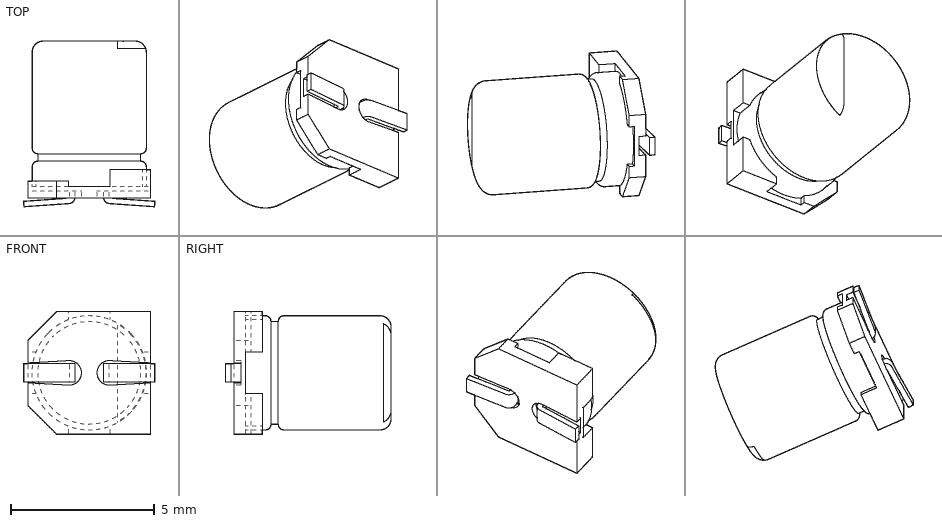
import cadquery as cq
import math


overall_length = 5.8
lead_drop = 0.3
lead_span = 4.6
can_top = overall_length - lead_drop

can_radius = 2.0
can_bottom = 0.405
top_fillet = 0.4
groove_radius = 1.8
groove_bottom = 1.3
groove_top = 1.55
groove_lip = can_radius - groove_radius

mark_start = 0.985
mark_depth = 0.27

base_width = 4.3
base_half = base_width / 2
corner_cut = 1.01
low_post_height = 0.6
high_post_height = 1.0
channel_width = 1.45

slot_depth = 0.245
slot_mouth_width = 0.695
slot_end_radius = 0.43
slot_end_center = 0.7

lead_width = 0.65
lead_thickness = 0.2
lead_angle = math.radians(4.0)
bend_inner_radius = 0.04
bend_outer_radius = bend_inner_radius + lead_thickness
leg_offset = 0.495


def make_full_can():
    """Revolve the can, including the region of the polarity mark."""
    lip_start = groove_bottom - groove_lip
    lip_end = groove_top + groove_lip
    lip_shift = groove_lip * math.sqrt(0.5)
    lip_mid = groove_radius + lip_shift
    top_center_r = can_radius - top_fillet
    top_center_y = can_top - top_fillet
    top_shift = top_fillet * math.sqrt(0.5)
    return (
        cq.Workplane("XY")
        .moveTo(0, can_bottom)
        .lineTo(can_radius, can_bottom)
        .lineTo(can_radius, lip_start)
        .threePointArc((lip_mid, lip_start + lip_shift), (groove_radius, groove_bottom))
        .lineTo(groove_radius, groove_top)
        .threePointArc((lip_mid, lip_end - lip_shift), (can_radius, lip_end))
        .lineTo(can_radius, top_center_y)
        .threePointArc((top_center_r + top_shift, top_center_y + top_shift), (top_center_r, can_top))
        .lineTo(0, can_top)
        .close()
        .revolve(360, (0, 0, 0), (0, 1, 0))
    )


def make_mark_region():
    """Block that encloses the marked segment of the can top."""
    return cq.Workplane("XY").box(
        can_radius, mark_depth, 2 * can_radius, centered=(False, False, True)
    ).translate((mark_start, can_top - mark_depth, 0))


def base_block(width_x, height, width_z):
    """Block centred on the can axis, rising from y = 0."""
    return cq.Workplane("XY").box(width_x, height, width_z, centered=(True, False, True))


def make_slot(side):
    """Lead slot that widens inward to a round end; side is -1 or +1 along X."""
    mouth_half = slot_mouth_width / 2
    reach = base_half - slot_end_center
    mouth_distance = math.hypot(reach, mouth_half)
    tangent_angle = math.atan2(mouth_half, reach) + math.acos(slot_end_radius / mouth_distance)
    tangent_x = slot_end_center + slot_end_radius * math.cos(tangent_angle)
    tangent_z = slot_end_radius * math.sin(tangent_angle)
    inner_end = slot_end_center - slot_end_radius
    return (
        cq.Workplane("XZ")
        .moveTo(side * base_half, mouth_half)
        .lineTo(side * tangent_x, tangent_z)
        .threePointArc((side * inner_end, 0), (side * tangent_x, -tangent_z))
        .lineTo(side * base_half, -mouth_half)
        .close()
        .extrude(-slot_depth)
    )


def make_base():
    """Square base with four posts around the can and a slot for each lead."""
    base = base_block(base_width, high_post_height, base_width)
    base = base.edges("|Y and <X").chamfer(corner_cut)

    low_side = base_block(base_width, high_post_height, base_width)
    base = base.cut(low_side.translate((-base_half, low_post_height, 0)))

    channel_x = base_block(base_width, high_post_height, channel_width)
    channel_z = base_block(channel_width, high_post_height, base_width)
    seat = cq.Workplane("XZ").circle(can_radius).extrude(-high_post_height)
    for cutter in (channel_x, channel_z, seat):
        base = base.cut(cutter.translate((0, can_bottom, 0)))

    for side in (-1, 1):
        base = base.cut(make_slot(side))
    return base


def make_lead(side):
    """L-shaped strip with a sloping arm and a leg that ends on the slot floor."""
    bend_x = leg_offset + bend_outer_radius
    cos_a = math.cos(lead_angle)
    sin_a = math.sin(lead_angle)
    arm_start_x = bend_x - bend_inner_radius * sin_a
    arm_length = (lead_span / 2 - arm_start_x) / cos_a
    bend_y = -lead_drop + bend_outer_radius * cos_a + arm_length * sin_a

    def bend_point(radius, angle):
        """Point around the bend centre, angle measured from the leg toward the arm."""
        return (side * (bend_x - radius * math.cos(angle)), bend_y - radius * math.sin(angle))

    def arm_tip(radius):
        x, y = bend_point(radius, bend_angle)
        return (x + side * arm_length * cos_a, y - arm_length * sin_a)

    bend_angle = math.pi / 2 - lead_angle
    return (
        cq.Workplane("XY")
        .workplane(offset=-lead_width / 2)
        .moveTo(side * leg_offset, slot_depth)
        .lineTo(*bend_point(bend_outer_radius, 0))
        .threePointArc(
            bend_point(bend_outer_radius, bend_angle / 2), bend_point(bend_outer_radius, bend_angle)
        )
        .lineTo(*arm_tip(bend_outer_radius))
        .lineTo(*arm_tip(bend_inner_radius))
        .lineTo(*bend_point(bend_inner_radius, bend_angle))
        .threePointArc(
            bend_point(bend_inner_radius, bend_angle / 2), bend_point(bend_inner_radius, 0)
        )
        .lineTo(side * (leg_offset + lead_thickness), slot_depth)
        .close()
        .extrude(lead_width)
    )


full_can = make_full_can()
mark_region = make_mark_region()
can = full_can.cut(mark_region)
polarity_mark = full_can.intersect(mark_region)
base = make_base()
leads = [make_lead(side) for side in (-1, 1)]

result = cq.Compound.makeCompound(
    [can.val(), polarity_mark.val(), base.val(), *[lead.val() for lead in leads]]
)